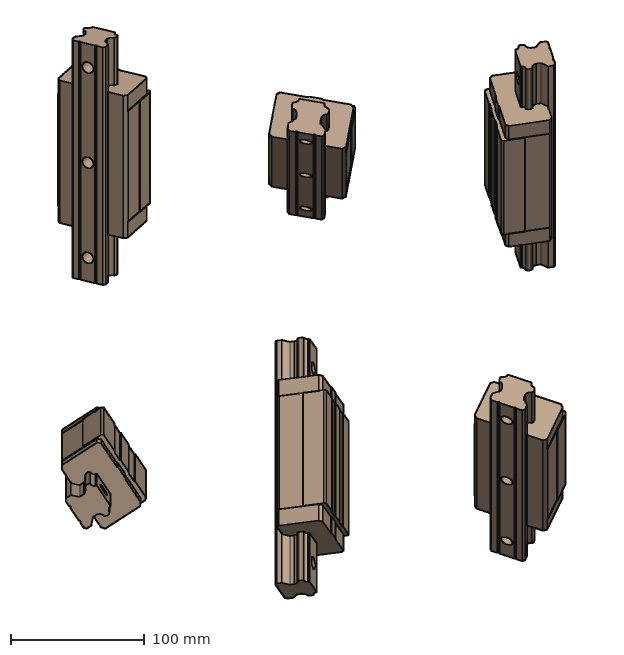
import cadquery as cq

rail_length = 200.0
rail_height = 26.0
rail_half_width = 14.0
rail_top_half_width = 9.8
rail_waist_half_width = 9.2
rail_foot_height = 5.8
rail_foot_chamfer = 1.5
rail_top_chamfer = 0.5
upper_groove_start = 24.8
head_top = 21.5
head_bottom = 19.2
head_groove_end = 13.0
upper_groove_end = 22.5
lower_groove_start = 17.5
lower_groove_end = 15.2
lower_groove_end_half_width = 9.5
waist_top = 14.0
waist_bottom = 10.5
rail_corner_radius = 0.8
ball_groove_radius = 3.8
base_groove_inner = 5.8
base_groove_outer = 7.5
base_groove_slope = 0.5
base_groove_depth = 0.5
bolt_hole_diameter = 9.2
bolt_pitch = 80.0
bolt_count = 3

carriage_length = 120.0
block_length = 93.2
carriage_bottom = 6.0
block_top = 45.0
block_half_width = 30.0
side_step_width = 0.5
block_lower_half_width = block_half_width - side_step_width
side_step_height = 26.5
side_step_rise = 0.5
bottom_half_width = 26.5
block_top_chamfer_width = 1.2
block_top_chamfer_height = 1.8
top_groove_inner = 5.5
top_groove_outer = 14.0
top_groove_depth = 0.5
top_groove_slope = 0.8
cap_half_width = 29.2
cap_top = 41.5
cap_bottom_chamfer_height = 2.0
bottom_chamfer_slope = cap_bottom_chamfer_height / (cap_half_width - bottom_half_width)
block_bottom_chamfer_height = bottom_chamfer_slope * (block_lower_half_width - bottom_half_width)
cap_top_chamfer = 2.2
cap_ridge_half_width = 4.8
cap_ridge_height = 0.5
cap_ridge_slope = 0.8


def mirrored(half):
    """Join a right-hand outline, listed from bottom to top, to its mirror image."""
    return half + [(-x, y) for x, y in reversed(half)]


def extruded_along_z(outline, length):
    return outline.extrude(length / 2, both=True)


def rail_section():
    """Rail outline: the right half from the base up to the top, then mirrored."""
    upper_start = (rail_top_half_width, upper_groove_start)
    upper_end = (head_groove_end, upper_groove_end)
    lower_start = (head_groove_end, lower_groove_start)
    lower_end = (lower_groove_end_half_width, lower_groove_end)
    top_edge = rail_top_half_width - rail_top_chamfer
    return (
        cq.Workplane("XY")
        .moveTo(0, 0)
        .lineTo(base_groove_inner, 0)
        .lineTo(base_groove_inner + base_groove_slope, base_groove_depth)
        .lineTo(base_groove_outer - base_groove_slope, base_groove_depth)
        .lineTo(base_groove_outer, 0)
        .lineTo(rail_half_width - rail_foot_chamfer, 0)
        .lineTo(rail_half_width, rail_foot_chamfer)
        .lineTo(rail_half_width, rail_foot_height)
        .lineTo(rail_waist_half_width, waist_bottom)
        .lineTo(rail_waist_half_width, waist_top)
        .lineTo(*lower_end)
        .radiusArc(lower_start, ball_groove_radius)
        .lineTo(rail_half_width, head_bottom)
        .lineTo(rail_half_width, head_top)
        .lineTo(*upper_end)
        .radiusArc(upper_start, ball_groove_radius)
        .lineTo(rail_top_half_width, rail_height - rail_top_chamfer)
        .lineTo(top_edge, rail_height)
        .lineTo(0, rail_height)
        .mirrorY()
    )


def make_rail_bar():
    bar = extruded_along_z(rail_section(), rail_length)
    for x, y in [
        (rail_half_width, head_top),
        (rail_half_width, head_bottom),
        (rail_waist_half_width, waist_bottom),
    ]:
        for side in (-1, 1):
            corner = cq.selectors.NearestToPointSelector((side * x, y, 0))
            bar = bar.edges("|Z").edges(corner).fillet(rail_corner_radius)
    return bar


def make_rail():
    holes = (
        cq.Workplane("XZ")
        .rarray(2, bolt_pitch, 1, bolt_count)
        .circle(bolt_hole_diameter / 2)
        .extrude(-rail_height)
    )
    return make_rail_bar().cut(holes)


def make_block():
    half = [
        (bottom_half_width, carriage_bottom),
        (block_lower_half_width, carriage_bottom + block_bottom_chamfer_height),
        (block_lower_half_width, side_step_height),
        (block_half_width, side_step_height + side_step_rise),
        (block_half_width, block_top - block_top_chamfer_height),
        (block_half_width - block_top_chamfer_width, block_top),
        (top_groove_outer, block_top),
        (top_groove_outer - top_groove_slope, block_top - top_groove_depth),
        (top_groove_inner + top_groove_slope, block_top - top_groove_depth),
        (top_groove_inner, block_top),
    ]
    return extruded_along_z(cq.Workplane("XY").polyline(mirrored(half)).close(), block_length)


def make_end_caps():
    """The two end caps that cover the end faces of the block."""
    half = [
        (bottom_half_width, carriage_bottom),
        (cap_half_width, carriage_bottom + cap_bottom_chamfer_height),
        (cap_half_width, cap_top - cap_top_chamfer),
        (cap_half_width - cap_top_chamfer, cap_top),
        (cap_ridge_half_width + cap_ridge_slope, cap_top),
        (cap_ridge_half_width, cap_top + cap_ridge_height),
    ]
    cap_length = (carriage_length - block_length) / 2
    caps = []
    for start in (-carriage_length / 2, block_length / 2):
        section = cq.Workplane("XY").workplane(offset=start).polyline(mirrored(half)).close()
        caps.append(section.extrude(cap_length))
    return caps


def make_carriage():
    carriage_body = make_block()
    for cap in make_end_caps():
        carriage_body = carriage_body.union(cap)
    return carriage_body.cut(make_rail_bar())


rail = make_rail()
carriage = make_carriage()
result = cq.Compound.makeCompound([rail.val(), carriage.val()])